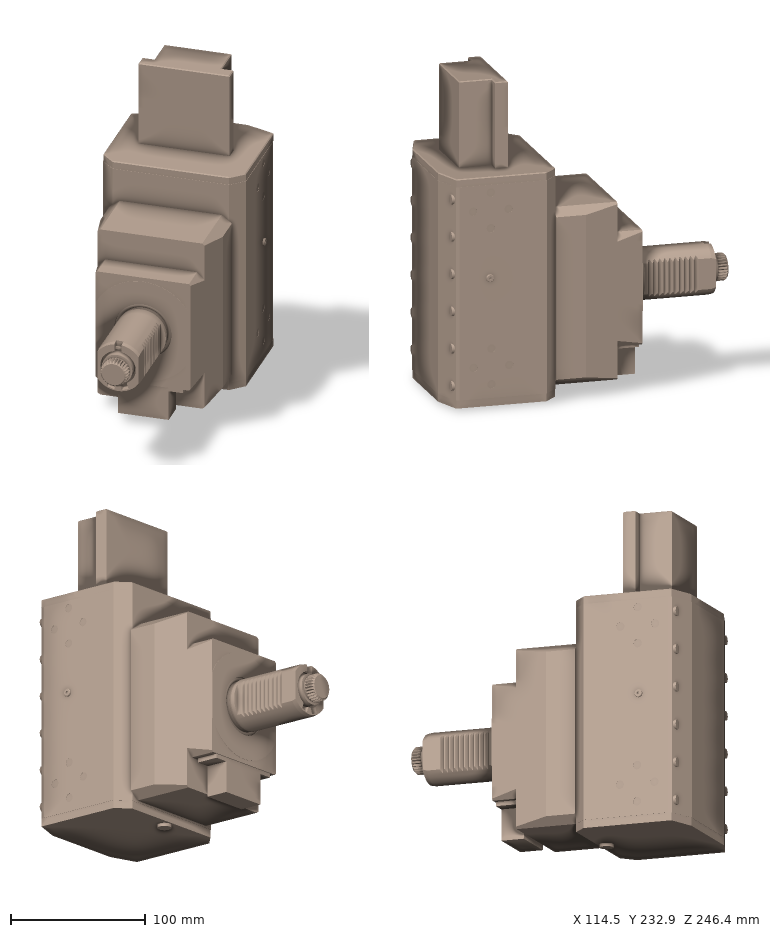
import cadquery as cq
import math


housing_half_width = 55.7
housing_front = 70.0
housing_back = 157.7
housing_top = 100.8
housing_bottom = -76.5
cap_thickness = 6.2
cap_inset = 0.2
front_bevel_x = 10.4
front_bevel_y = 9.9
back_bevel_x = 22.2
back_bevel_y = 7.6
body_corner_x = 0.7
body_corner_y = 2.7
edge_break = 0.7

tee_top = 167.5
tee_front = 103.8
tee_step = 113.9
tee_back = 139.0
tee_half_width = 35.5
stem_half_width = 26.1

saddle_half_width = 47.5
saddle_front = 20.7
saddle_taper_start = 47.0
saddle_half_height = 68.8
saddle_bevel_x = 8.0
saddle_bevel_z = 6.0
nose_half_width = 37.0
nose_half_height = 44.4
nose_bevel_start = 35.7
face_disc_radius = 41.2
face_disc_height = 0.2

coolant_front = 0.7
coolant_back = 18.7
coolant_half_width = 19.7
coolant_bottom = -71.5
plate_half_width = 31.0
plate_thickness = 3.2

shank_radius = 20.0
shank_end_radius = 38.7 / 2
shank_length = 63.3
shank_bevel_length = 3.5
shoulder_length = 1.7
shoulder_bevel_end = 4.0
collar_length = 7.1
seal_groove_radius = 22.2
seal_groove_depth = 2.5
seal_ring_radius = 20.7
seal_cord_radius = 1.5
flat_offset = 16.0
rack_root_offset = 14.0
rack_pitch = 4.0
rack_count = 10
rack_first = 12.0
rack_crest = 0.7
rack_clearance = 2.5
rack_root = 0.5
slot_width = 5.7
slot_depth = 5.2
end_recess_radius = 13.8
upper_slot_angle = 90
lower_slot_angles = (270 - 18, 270 + 18)
lower_slot_end = 18.2
slot_step_radius = 15.5
slot_step_depth = 3.2

hub_radius = 24.0 / 2
hub_end = 65.8
neck_radius = 9.5
neck_end = 67.3
spline_end = 75.2
spline_radius = 10.47
spline_root_radius = 8.9
spline_count = 26
spline_bevel = 1.7
spline_crest_start = 0.4
spline_crest_end = 0.6

plug_diameter = 6.5
plug_depth = 0.2
plug_spread = 13.8
plug_centres = ((123.2, 75.0), (122.7, -45.8))
side_pin_reach = 114.5 / 2
side_pin_diameter = 6.0
side_pin_socket = 2.1
side_pin_y = 124.0
side_pin_z = 22.7
screw_diameter = 7.5
screw_x = 50.3
screw_back = 152.8
screw_length = 7.5
screw_top = 84.3
screw_pitch = 28.8
screw_count = 6
foot_diameter = 10.5
foot_y = 77.1
foot_bottom = -78.9


def box(x0, x1, y0, y1, z0, z1):
    """Block between opposite corners."""
    return cq.Workplane("XY").box(x1 - x0, y1 - y0, z1 - z0, centered=False).translate((x0, y0, z0))


def mirrored_outline(right_side):
    """Closed outline from its +X half, listed from front to back."""
    left_side = [(-x, y) for x, y in reversed(right_side)]
    return right_side + left_side


def prism(right_side, z0, z1):
    """Upright prism with an outline symmetric about X = 0."""
    outline = mirrored_outline(right_side)
    return cq.Workplane("XY").workplane(offset=z0).polyline(outline).close().extrude(z1 - z0)


def cylinder_y(radius, front, back, x=0, z=0):
    """Round bar along Y, from `front` to `back`."""
    return cq.Workplane("XZ", origin=(x, back, z)).circle(radius).extrude(back - front)


def make_cap(side, z0, z1):
    """End cap: the given outline, set in slightly all round."""
    outline = mirrored_outline(side)
    cap = cq.Workplane("XY", origin=(0, 0, z0)).polyline(outline).close()
    return cap.offset2D(-cap_inset, "intersection").extrude(z1 - z0)


def make_housing():
    front_edge = [
        (housing_half_width - front_bevel_x, housing_front),
        (housing_half_width, housing_front + front_bevel_y),
    ]
    corner_y = housing_back - back_bevel_y
    back_edge = (housing_half_width - back_bevel_x, housing_back)
    cap_side = front_edge + [(housing_half_width, corner_y), back_edge]
    body_side = front_edge + [
        (housing_half_width, corner_y - body_corner_y),
        (housing_half_width - body_corner_x, corner_y),
        back_edge,
    ]
    body_bottom = housing_bottom + cap_thickness
    body_top = housing_top - cap_thickness
    bottom_cap = make_cap(cap_side, housing_bottom, body_bottom)
    top_cap = make_cap(cap_side, body_top, housing_top).faces(">Z").chamfer(edge_break)
    return prism(body_side, body_bottom, body_top).union(bottom_cap).union(top_cap)


def make_tee():
    side = [
        (tee_half_width, tee_front),
        (tee_half_width, tee_step),
        (stem_half_width, tee_step),
        (stem_half_width, tee_back),
    ]
    return prism(side, housing_top, tee_top).faces(">Z").chamfer(edge_break)


def bevelled_block(half_width, half_height, bevel_start, bevel_z, front, back):
    """Block along Y whose four long edges are bevelled, from X = bevel_start on the top."""
    half = [(bevel_start, half_height), (half_width, half_height - bevel_z)]
    right = [(x, -z) for x, z in half] + half[::-1]
    outline = mirrored_outline(right)
    return cq.Workplane("XZ", origin=(0, back, 0)).polyline(outline).close().extrude(back - front)


def make_front_blocks():
    saddle = bevelled_block(
        saddle_half_width, saddle_half_height, saddle_half_width - saddle_bevel_x,
        saddle_bevel_z, saddle_front, housing_front,
    )
    nose = bevelled_block(
        saddle_half_width, nose_half_height, nose_bevel_start,
        saddle_half_width - nose_bevel_start, 0, saddle_front,
    )
    disc = cylinder_y(face_disc_radius, -face_disc_height, saddle_front)
    plan = prism(
        [
            (nose_half_width, -face_disc_height),
            (nose_half_width, 0),
            (saddle_half_width, saddle_taper_start),
            (saddle_half_width, housing_front),
        ],
        -saddle_half_height,
        saddle_half_height,
    )
    blocks = saddle.union(nose).union(disc).intersect(plan)
    return blocks.cut(cylinder_y(seal_groove_radius, -face_disc_height, seal_groove_depth))


def make_coolant_block():
    plate_bottom = -nose_half_height - plate_thickness
    plate = box(
        -plate_half_width, plate_half_width, coolant_front, coolant_back, plate_bottom, -nose_half_height
    )
    block = box(
        -coolant_half_width, coolant_half_width, coolant_front, coolant_back, coolant_bottom, plate_bottom
    )
    return plate.union(block)


def rack_cutter():
    """Material removed from the +X side of the shank: the flat and its V-shaped grooves."""
    outside = shank_radius + rack_clearance
    flank = (rack_pitch - rack_crest - rack_root) / 2
    outline = [(outside, -collar_length), (flat_offset, -collar_length)]
    for i in range(rack_count):
        centre = rack_first + i * rack_pitch
        outline += [
            (flat_offset, -(centre - rack_root / 2 - flank)),
            (rack_root_offset, -(centre - rack_root / 2)),
            (rack_root_offset, -(centre + rack_root / 2)),
            (flat_offset, -(centre + rack_root / 2 + flank)),
        ]
    outline += [(flat_offset, -shank_length), (outside, -shank_length)]
    cutter = cq.Workplane("XY").polyline(outline).close()
    return cutter.extrude(shank_radius, both=True)


def end_slot(angle, inner, outer, depth):
    """Radial slot cut into the free end of the shank, at `angle` degrees from +X toward +Z."""
    slot = box(inner, outer, -shank_length, depth - shank_length, -slot_width / 2, slot_width / 2)
    return slot.rotate((0, 0, 0), (0, 1, 0), -angle)


def make_shank():
    profile = [
        (0, seal_groove_depth),
        (shank_end_radius, seal_groove_depth),
        (shank_end_radius, -shoulder_length),
        (shank_radius, -shoulder_bevel_end),
        (shank_radius, -(shank_length - shank_bevel_length)),
        (shank_end_radius, -shank_length),
        (0, -shank_length),
    ]
    shank = cq.Workplane("XY").polyline(profile).close().revolve(360, (0, 0), (0, 1))
    rack = rack_cutter()
    shank = shank.cut(rack).cut(rack.mirror("YZ"))
    recess_floor = slot_depth - shank_length
    shank = shank.cut(cylinder_y(end_recess_radius, -shank_length, recess_floor))
    for angle in lower_slot_angles:
        shank = shank.cut(end_slot(angle, 0, lower_slot_end, slot_depth))
    shank = shank.cut(end_slot(upper_slot_angle, 0, slot_step_radius, slot_step_depth))
    shank = shank.cut(end_slot(upper_slot_angle, slot_step_radius, shank_radius, slot_depth))
    seal = cq.Workplane("XY").center(seal_ring_radius, seal_cord_radius).circle(seal_cord_radius)
    seal = seal.revolve(360, (-seal_ring_radius, 0), (-seal_ring_radius, 1))
    return shank.union(seal)


def make_drive_tip():
    hub = cylinder_y(hub_radius, -hub_end, slot_depth - shank_length)
    neck = cylinder_y(neck_radius, -neck_end, -hub_end)
    step = 2 * math.pi / spline_count
    tooth = (
        (spline_root_radius, 0),
        (spline_radius, spline_crest_start),
        (spline_radius, spline_crest_end),
    )
    outline = []
    for i in range(spline_count):
        for radius, turn in tooth:
            angle = (i + turn) * step
            outline.append((radius * math.cos(angle), radius * math.sin(angle)))
    length = spline_end - neck_end
    spline = cq.Workplane("XZ", origin=(0, -neck_end, 0)).polyline(outline).close().extrude(length)
    envelope = cylinder_y(spline_radius, -spline_end, -neck_end).faces("<Y").chamfer(spline_bevel)
    return hub.union(neck).union(spline.intersect(envelope))


def add_side_fittings(part):
    """Shallow plug recesses and a socketed pin on each side of the housing."""
    spots = []
    for y, z in plug_centres:
        spots += [(y + plug_spread, z), (y - plug_spread, z), (y, z + plug_spread), (y, z - plug_spread)]
    plugs = cq.Workplane("YZ", origin=(housing_half_width - plug_depth, 0, 0))
    plugs = plugs.pushPoints(spots).circle(plug_diameter / 2).extrude(plug_depth)
    part = part.cut(plugs).cut(plugs.mirror("YZ"))
    pin = cq.Workplane("YZ", origin=(-side_pin_reach, side_pin_y, side_pin_z))
    pin = pin.circle(side_pin_diameter / 2).extrude(2 * side_pin_reach)
    pin = pin.faces("<X or >X").edges().chamfer(edge_break / 2)
    socket = cq.Workplane("YZ", origin=(housing_half_width, side_pin_y, side_pin_z))
    socket = socket.circle(side_pin_socket / 2).extrude(side_pin_reach - housing_half_width)
    return part.union(pin).cut(socket).cut(socket.mirror("YZ"))


def make_back_screws():
    """Rows of screw heads on the two back bevels."""
    screws = cq.Workplane("XY")
    for x in (-screw_x, screw_x):
        for i in range(screw_count):
            z = screw_top - i * screw_pitch
            screws = screws.union(cylinder_y(screw_diameter / 2, screw_back - screw_length, screw_back, x, z))
    return screws


def make_foot():
    height = housing_bottom - foot_bottom
    return cq.Workplane("XY", origin=(0, foot_y, foot_bottom)).circle(foot_diameter / 2).extrude(height)


result = make_housing().union(make_tee()).union(make_front_blocks()).union(make_coolant_block())
result = result.union(make_shank()).union(make_drive_tip())
result = add_side_fittings(result).union(make_back_screws()).union(make_foot())